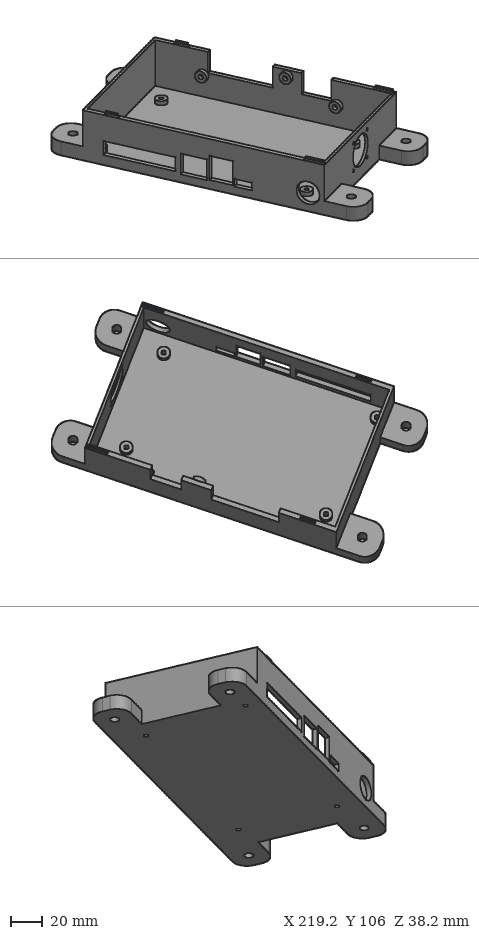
import cadquery as cq

BOX_LENGTH = 168.2
BOX_WIDTH = 106.0
BOX_HEIGHT = 36.0
SHORT_WALL = 2.0
LONG_WALL = 3.3
FLOOR = 3.0
INNER_LENGTH = BOX_LENGTH - 2 * SHORT_WALL
INNER_BACK = BOX_WIDTH / 2 - LONG_WALL

FOOT_LENGTH = 25.5
FOOT_HEIGHT = 10.0
FOOT_RADIUS = 10.0
FOOT_X = (BOX_LENGTH + FOOT_LENGTH) / 2
FOOT_Y = (BOX_WIDTH - FOOT_LENGTH) / 2
FOOT_HOLE_DIAMETER = 6.0

BOSS_DIAMETER = 8.0
BOSS_HEIGHT = 3.0
FLOOR_HOLE_DIAMETER = 2.8
BACK_HOLE_DIAMETER = 3.3
FLOOR_BOSSES = [(-69.5, 31.8), (64.2, 31.8), (64.2, -37.0), (-76.9, -41.5)]
BACK_BOSSES = [(-49.0, 18.6), (9.6, 31.3), (44.2, 18.6)]

FRONT_WINDOWS = [
    (-69.6, 7.2, 50.2, 10.0),
    (-15.8, 6.0, 18.2, 15.0),
    (4.2, 6.5, 16.2, 17.3),
    (21.5, 6.0, 12.3, 5.5),
]
JACK_X = 72.7
JACK_Z = 13.4
JACK_DIAMETER = 16.0

NOTCH_FLOOR = 20.8
BACK_NOTCHES = [(-45.5, -0.5), (19.7, 40.3)]

FAN_Z = 20.4
FAN_DIAMETER = 22.0
FAN_SCREW_SPACING = 20.0
FAN_SCREW_DIAMETER = 1.8

CLIP_SPANS = [(-68.5, -60.2), (70.3, 82.5)]
CLIP_THICKNESS = 0.9
CLIP_RISE = 2.2
CLIP_SKIRT = 0.9
CLIP_Y = (BOX_WIDTH - LONG_WALL) / 2


def block(x0, x1, y0, y1, z0, z1):
    """A box between two limits along each axis."""
    return cq.Workplane("XY").box(x1 - x0, y1 - y0, z1 - z0, centered=False).translate((x0, y0, z0))


def make_footed_block():
    """The solid box and its four feet, each pair of feet being the ends of one strip."""
    body = cq.Workplane("XY").rect(BOX_LENGTH, BOX_WIDTH).extrude(BOX_HEIGHT)
    for y in (-FOOT_Y, FOOT_Y):
        strip = (
            cq.Workplane("XY").center(0, y)
            .rect(BOX_LENGTH + 2 * FOOT_LENGTH, FOOT_LENGTH)
            .extrude(FOOT_HEIGHT)
            .edges("|Z").fillet(FOOT_RADIUS)
        )
        body = body.union(strip)
    holes = (
        cq.Workplane("XY").rect(2 * FOOT_X, 2 * FOOT_Y, forConstruction=True).vertices()
        .circle(FOOT_HOLE_DIAMETER / 2).extrude(FOOT_HEIGHT)
    )
    return body.cut(holes)


def cut_cavity(body):
    cavity = (
        cq.Workplane("XY", origin=(0, 0, FLOOR))
        .rect(INNER_LENGTH, 2 * INNER_BACK).extrude(BOX_HEIGHT - FLOOR)
    )
    return body.cut(cavity)


def add_floor_bosses(body):
    bosses = (
        cq.Workplane("XY").pushPoints(FLOOR_BOSSES)
        .circle(BOSS_DIAMETER / 2).extrude(FLOOR + BOSS_HEIGHT)
    )
    holes = (
        cq.Workplane("XY").pushPoints(FLOOR_BOSSES)
        .circle(FLOOR_HOLE_DIAMETER / 2).extrude(FLOOR + BOSS_HEIGHT)
    )
    return body.union(bosses).cut(holes)


def cut_front_wall(body):
    front = -BOX_WIDTH / 2
    for left, bottom, width, height in FRONT_WINDOWS:
        body = body.cut(block(left, left + width, front, front + LONG_WALL, bottom, bottom + height))
    jack = (
        cq.Workplane("XZ", origin=(JACK_X, front, JACK_Z))
        .circle(JACK_DIAMETER / 2).extrude(-LONG_WALL)
    )
    return body.cut(jack)


def cut_back_wall(body):
    for left, right in BACK_NOTCHES:
        body = body.cut(block(left, right, INNER_BACK, BOX_WIDTH / 2, NOTCH_FLOOR, BOX_HEIGHT))
    return body


def cut_fan_opening(body):
    wall = cq.Workplane("YZ", origin=(INNER_LENGTH / 2, 0, FAN_Z))
    opening = wall.circle(FAN_DIAMETER / 2).extrude(SHORT_WALL)
    screws = (
        wall.rect(FAN_SCREW_SPACING, FAN_SCREW_SPACING, forConstruction=True).vertices()
        .circle(FAN_SCREW_DIAMETER / 2).extrude(SHORT_WALL)
    )
    return body.cut(opening).cut(screws)


def add_clips(body):
    for left, right in CLIP_SPANS:
        for y in (-CLIP_Y, CLIP_Y):
            length = right - left
            middle = (left + right) / 2
            rim = cq.Workplane("XY", origin=(middle, y, BOX_HEIGHT))
            skirt = (
                rim.rect(length + 2 * CLIP_SKIRT, CLIP_THICKNESS + 2 * CLIP_SKIRT)
                .workplane(offset=CLIP_SKIRT).rect(length, CLIP_THICKNESS).loft()
            )
            tongue = rim.rect(length, CLIP_THICKNESS).extrude(CLIP_RISE)
            body = body.union(skirt).union(tongue)
    return body


def make_housing():
    body = cut_cavity(make_footed_block())
    body = add_floor_bosses(body)
    body = cut_front_wall(body)
    body = cut_back_wall(body)
    body = cut_fan_opening(body)
    return add_clips(body)


def make_back_boss(x, z):
    return (
        cq.Workplane("XZ", origin=(x, INNER_BACK, z))
        .circle(BOSS_DIAMETER / 2).circle(BACK_HOLE_DIAMETER / 2).extrude(BOSS_HEIGHT)
    )


housing = make_housing()
back_bosses = [make_back_boss(x, z).val() for x, z in BACK_BOSSES]
result = cq.Compound.makeCompound([housing.val(), *back_bosses])